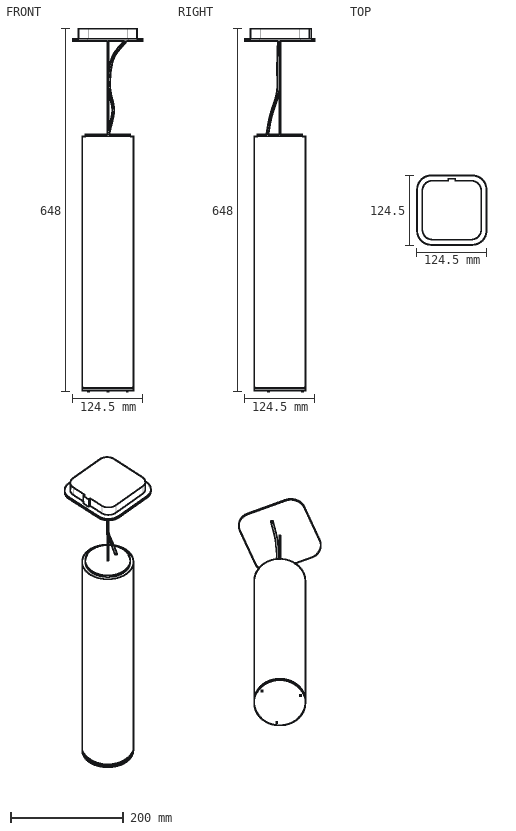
import cadquery as cq
import math

TOTAL_HEIGHT = 648.0

FLANGE_SIDE = 124.5
FLANGE_CORNER_RADIUS = 26.0
FLANGE_THICKNESS = 4.0
COVER_SIDE = 105.0
COVER_CORNER_RADIUS = 17.5
COVER_HEIGHT = 18.0
TAB_WIDTH = 13.0
TAB_DEPTH = 4.0

BODY_HEIGHT = 458.0
BODY_RADIUS = 46.0
CAP_RADIUS = 40.0
CAP_HEIGHT = 4.0
LOWER_RIM_HEIGHT = 4.0
GROOVE_WIDTH = 2.0
GROOVE_DEPTH = 2.0

SCREW_COUNT = 3
FIRST_SCREW_ANGLE = 90.0
SCREW_CIRCLE_RADIUS = 40.0
SCREW_RADIUS = 1.0
SCREW_HEIGHT = 1.0

WIRE_RADIUS = 1.0
CABLE_RADIUS = 2.0
CABLE_OVERRUN = 6.5

body_bottom = SCREW_HEIGHT
body_top = body_bottom + BODY_HEIGHT
shoulder_level = body_top - CAP_HEIGHT
groove_bottom = body_bottom + LOWER_RIM_HEIGHT
groove_top = groove_bottom + GROOVE_WIDTH
cover_bottom = TOTAL_HEIGHT - COVER_HEIGHT
canopy_bottom = cover_bottom - FLANGE_THICKNESS

CABLE_POINTS = [
    (0.5, -22.0, body_top),
    (7.0, -17.5, 485.0),
    (10.0, -13.0, 502.0),
    (4.0, -4.0, 532.5),
    (4.0, -3.0, 572.5),
    (11.0, -2.5, 600.0),
    (32.0, -2.0, canopy_bottom),
]


def disc(radius, bottom, top):
    """Upright cylinder on the Z axis between two levels."""
    return cq.Workplane("XY", origin=(0, 0, bottom)).circle(radius).extrude(top - bottom)


def rounded_square(side, corner_radius, bottom, top):
    """Square plate with rounded vertical corners between two levels."""
    plate = cq.Workplane("XY", origin=(0, 0, bottom)).rect(side, side).extrude(top - bottom)
    return plate.edges("|Z").fillet(corner_radius)


def make_canopy():
    flange = rounded_square(FLANGE_SIDE, FLANGE_CORNER_RADIUS, canopy_bottom, cover_bottom)
    cover = rounded_square(COVER_SIDE, COVER_CORNER_RADIUS, cover_bottom, TOTAL_HEIGHT)
    tab = (
        cq.Workplane("XY", origin=(0, COVER_SIDE / 2, cover_bottom))
        .rect(TAB_WIDTH, 2 * TAB_DEPTH)
        .extrude(COVER_HEIGHT)
    )
    return flange.union(cover).union(tab).solids()


def make_lamp_body():
    lower_rim = disc(BODY_RADIUS, body_bottom, groove_bottom)
    groove_core = disc(BODY_RADIUS - GROOVE_DEPTH, groove_bottom, groove_top)
    tube = disc(BODY_RADIUS, groove_top, shoulder_level)
    cap = disc(CAP_RADIUS, shoulder_level, body_top)
    return lower_rim.union(groove_core).union(tube).union(cap).solids()


def make_screw(index):
    angle = math.radians(FIRST_SCREW_ANGLE + index * 360 / SCREW_COUNT)
    x = SCREW_CIRCLE_RADIUS * math.cos(angle)
    y = SCREW_CIRCLE_RADIUS * math.sin(angle)
    return disc(SCREW_RADIUS, 0, body_bottom).translate((x, y, 0))


def beyond(end, neighbour):
    """Point that continues the line from neighbour to end by CABLE_OVERRUN."""
    return end + (end - neighbour).normalized() * CABLE_OVERRUN


def make_cable():
    points = [cq.Vector(*point) for point in CABLE_POINTS]
    start = beyond(points[0], points[1])
    finish = beyond(points[-1], points[-2])
    path = cq.Workplane("XY").spline([start, *points, finish])
    section = cq.Workplane(cq.Plane(origin=start, normal=points[0] - start)).circle(CABLE_RADIUS)
    gap = disc(BODY_RADIUS, body_top, canopy_bottom)
    return section.sweep(path).intersect(gap).solids()


canopy = make_canopy()
lamp_body = make_lamp_body()
wire = disc(WIRE_RADIUS, body_top, canopy_bottom)
cable = make_cable()
screws = [make_screw(index) for index in range(SCREW_COUNT)]

result = cq.Compound.makeCompound(
    [
        canopy.val(),
        lamp_body.val(),
        wire.val(),
        cable.val(),
        *[screw.val() for screw in screws],
    ]
)